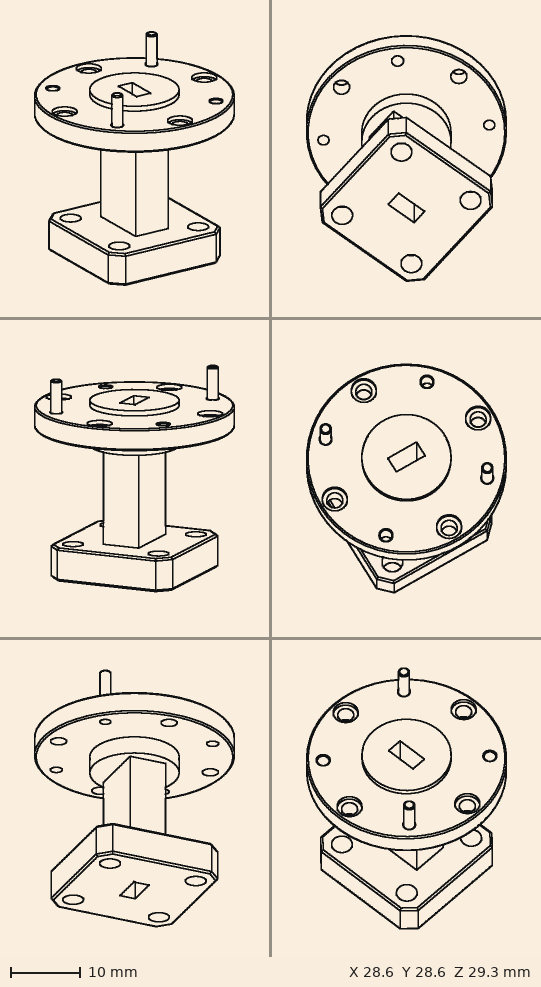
import cadquery as cq
import math

base_top = 4.85
collar_bottom = 18.75
disc_bottom = 21.35
disc_top = 24.55
boss_top = 25.32
pin_top = 29.27

base_side = 19.1
base_corner_cut = 1.81
base_edge_chamfer = 0.3
base_hole_diameter = 2.95
base_hole_spacing_x = 12.7
base_hole_spacing_y = 13.45

tube_width = 9.2
tube_depth = 5.55
bore_width = 4.77
bore_depth = bore_width / 2

disc_diameter = 28.57
disc_edge_chamfer = 0.23
collar_diameter = 12.75

bolt_circle_radius = 11.9
screw_hole_diameter = 2.28
counterbore_diameter = 3.57
counterbore_depth = 0.6

pin_diameter = 1.58
pin_tip_chamfer = 0.18
dowel_hole_diameter = 1.7
dowel_hole_chamfer = 0.15
pin_hole_chamfer = 0.12
countersink_angle = 90

screw_angles = [0, 90, 180, 270]
dowel_hole_angles = [45, 225]
pin_angles = [135, 315]


def bolt_circle_points(angles):
    """Points on the bolt circle at the given angles in degrees."""
    return [
        (
            bolt_circle_radius * math.cos(math.radians(angle)),
            bolt_circle_radius * math.sin(math.radians(angle)),
        )
        for angle in angles
    ]


def cylinder(diameter, bottom, top):
    """Upright cylinder on the Z axis."""
    return cq.Workplane("XY", origin=(0, 0, bottom)).circle(diameter / 2).extrude(top - bottom)


def make_square_flange():
    """Square plate with cut corners, chamfered rims and four screw holes."""
    plate = (
        cq.Workplane("XY")
        .rect(base_side, base_side)
        .extrude(base_top)
        .edges("|Z")
        .chamfer(base_corner_cut)
        .faces("<Z or >Z")
        .chamfer(base_edge_chamfer)
    )
    holes = (
        cq.Workplane("XY")
        .rect(base_hole_spacing_x, base_hole_spacing_y, forConstruction=True)
        .vertices()
        .circle(base_hole_diameter / 2)
        .extrude(base_top)
    )
    return plate.cut(holes)


def drill_chamfered_holes(disc, diameter, chamfer, angles):
    """Through holes in the disc with a countersunk rim on the top face."""
    mouth_diameter = diameter + 2 * chamfer
    return (
        disc.faces(">Z")
        .workplane(origin=(0, 0, disc_top))
        .pushPoints(bolt_circle_points(angles))
        .cskHole(diameter, mouth_diameter, countersink_angle)
    )


def make_round_flange():
    """Chamfered disc with counterbored screw holes and dowel holes, plus collar and boss."""
    disc = cylinder(disc_diameter, disc_bottom, disc_top).edges().chamfer(disc_edge_chamfer)
    disc = (
        disc.faces(">Z")
        .workplane(origin=(0, 0, disc_top))
        .pushPoints(bolt_circle_points(screw_angles))
        .cboreHole(screw_hole_diameter, counterbore_diameter, counterbore_depth)
    )
    disc = drill_chamfered_holes(disc, dowel_hole_diameter, dowel_hole_chamfer, dowel_hole_angles)
    disc = drill_chamfered_holes(disc, pin_diameter, pin_hole_chamfer, pin_angles)
    return disc.union(cylinder(collar_diameter, collar_bottom, boss_top))


def make_waveguide():
    """Both flanges joined by the tube, with the rectangular bore running end to end."""
    tube = (
        cq.Workplane("XY", origin=(0, 0, base_top))
        .rect(tube_width, tube_depth)
        .extrude(collar_bottom - base_top)
    )
    bore = cq.Workplane("XY").rect(bore_width, bore_depth).extrude(boss_top)
    return make_square_flange().union(tube).union(make_round_flange()).cut(bore)


def make_pin(position):
    """Dowel pin that fills its hole and stands above the disc, with a chamfered tip."""
    pin = cylinder(pin_diameter, disc_bottom, pin_top).faces(">Z").chamfer(pin_tip_chamfer)
    return pin.translate((position[0], position[1], 0))


waveguide = make_waveguide()
pins = [make_pin(position) for position in bolt_circle_points(pin_angles)]

result = cq.Compound.makeCompound([waveguide.val(), *[pin.val() for pin in pins]])